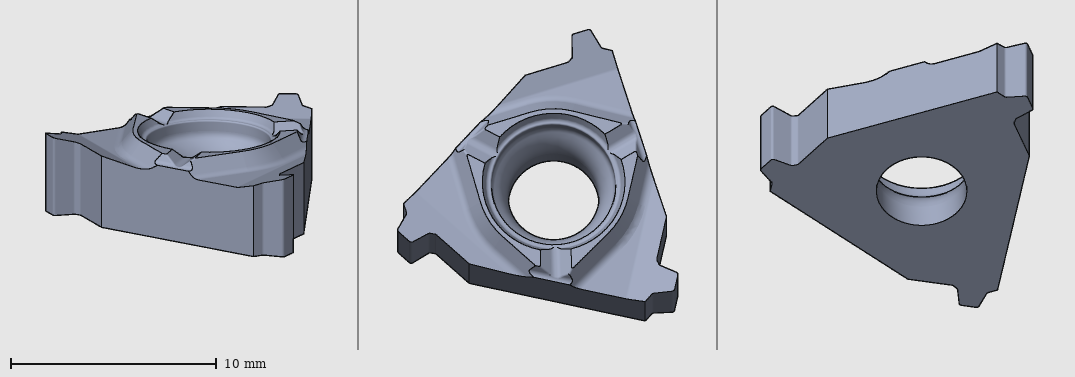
import cadquery as cq
import math

THICKNESS = 4.2
SIDE_DISTANCE = 9.525 / 2
CORNER_STEP = 120
NEXT_SIDE_DIRECTION = 180 + CORNER_STEP
CORNERS = (0, CORNER_STEP, 2 * CORNER_STEP)
REACH = 10.0
BAND = 0.01

TIP_Y = -6.895
SHOULDER_Y = -5.70
SIDE_END_Y = -5.615
TOOTH_X = -3.56
TIP_HALF_WIDTH = 0.465
FLANK_ANGLE = 15.0
ROOT_Y = -5.88
ROOT_BEVEL_END_X = -2.56
TIP_RADIUS = 0.14
ROOT_RADIUS = 0.15

FLOOR_Z = 3.375
RAMP_START = 4.70
RAMP_ANGLE = 15.0
RAMP_FOOT_RADIUS = 0.4
BOSS_RADIUS = 3.70
BOSS_WALL_ANGLE = 51.0
BOSS_FOOT_RADIUS = 0.45
BOSS_ARC_START = -121.8
BOSS_ARC_END = -90
BOSS_HALF_GAP = (CORNER_STEP + BOSS_ARC_START - BOSS_ARC_END) / 2
BOSS_CORNER = BOSS_ARC_END + BOSS_HALF_GAP

LEDGE_Z = 3.72
LEDGE_WALL_TOP = 4.30
LEDGE_WALL_ANGLE = 63.0
LEDGE_FILLET = 0.27
LEDGE_HALF_LENGTH = 2.5

GROOVE_DEPTH = 0.44
GROOVE_HALF_WIDTH = 0.75
GROOVE_WALL_ANGLE = 36.0
GROOVE_FILLET = 0.35
GROOVE_MOUTH_RADIUS = 0.1

HOLE_RADIUS = 4.4 / 2
RIM_RADIUS = 3.47
RIM_STEP_Z = 3.76
RIM_STEP_RADIUS = 3.24
RIM_STEP_FILLET = 0.2
SEAT_RADIUS = 3.02
SEAT_EDGE_RADIUS = 0.08
SEAT_TOP_Z = 3.22
SEAT_BLEND_RADIUS = 0.5
SEAT_ARC_RADIUS = 2.02


def polar(radius, degrees):
    angle = math.radians(degrees)
    return (radius * math.cos(angle), radius * math.sin(angle))


def turned(point, degrees):
    x, y = point
    angle = math.radians(degrees)
    return (x * math.cos(angle) - y * math.sin(angle), x * math.sin(angle) + y * math.cos(angle))


def at_corners(solid):
    """One solid holding the three rotated copies."""
    copies = cq.Workplane("XY")
    for angle in CORNERS:
        copies = copies.add(solid.rotate((0, 0, 0), (0, 0, 1), angle))
    return copies.combine()


def tooth_corner():
    """Outline points from the long side, round the tooth, to the shoulder."""
    root_half_width = TIP_HALF_WIDTH + (ROOT_Y - TIP_Y) * math.tan(math.radians(FLANK_ANGLE))
    normal_x, normal_y = polar(1, NEXT_SIDE_DIRECTION)
    shoulder_end_x = (SIDE_DISTANCE - SHOULDER_Y * normal_y) / normal_x
    return {
        "side_end": (-SIDE_DISTANCE, SIDE_END_Y),
        "left_root": (TOOTH_X - root_half_width, ROOT_Y),
        "left_tip": (TOOTH_X - TIP_HALF_WIDTH, TIP_Y),
        "right_tip": (TOOTH_X + TIP_HALF_WIDTH, TIP_Y),
        "right_root": (TOOTH_X + root_half_width, ROOT_Y),
        "bevel_end": (ROOT_BEVEL_END_X, SHOULDER_Y),
        "shoulder_end": (shoulder_end_x, SHOULDER_Y),
    }


def blank():
    """Full-height prism of the three-tooth outline with its tooth edges rounded."""
    corner = tooth_corner()
    outline = [turned(point, angle) for angle in CORNERS for point in corner.values()]
    body = cq.Workplane("XY").polyline(outline).close().extrude(THICKNESS)

    def round_edges(solid, names, radius):
        for angle in CORNERS:
            for name in names:
                x, y = turned(corner[name], angle)
                edge = cq.selectors.NearestToPointSelector((x, y, THICKNESS / 2))
                solid = solid.edges("|Z").edges(edge).fillet(radius)
        return solid

    body = round_edges(body, ("left_tip", "right_tip"), TIP_RADIUS)
    return round_edges(body, ("left_root", "right_root", "bevel_end"), ROOT_RADIUS)


def boss_on_floor():
    """Floor disc carrying the sloped boss: arcs joined by tangent lines that meet at three corners."""
    height = THICKNESS - FLOOR_Z
    foot_radius = BOSS_RADIUS + height / math.tan(math.radians(BOSS_WALL_ANGLE))
    corner_radius = foot_radius / math.cos(math.radians(BOSS_HALF_GAP))
    arc_middle = (BOSS_ARC_START + BOSS_ARC_END) / 2
    outline = cq.Workplane("XY").workplane(offset=FLOOR_Z).moveTo(*polar(foot_radius, BOSS_ARC_START))
    for angle in CORNERS:
        outline = outline.threePointArc(
            polar(foot_radius, arc_middle + angle), polar(foot_radius, BOSS_ARC_END + angle)
        )
        outline = outline.lineTo(*polar(corner_radius, BOSS_CORNER + angle))
        outline = outline.lineTo(*polar(foot_radius, BOSS_ARC_START + CORNER_STEP + angle))
    boss = outline.close().extrude(height, taper=90 - BOSS_WALL_ANGLE)
    floor = cq.Workplane("XY").circle(REACH).extrude(FLOOR_Z)
    inside = 0.95 * REACH
    foot_edges = cq.selectors.BoxSelector(
        (-inside, -inside, FLOOR_Z - BAND), (inside, inside, FLOOR_Z + BAND), boundingbox=True
    )
    return floor.union(boss).edges(foot_edges).fillet(BOSS_FOOT_RADIUS)


def ramp():
    """Ground under the -Y tooth: level up to the ramp foot, then rising outwards."""
    slope = math.tan(math.radians(RAMP_ANGLE))
    run_in = RAMP_FOOT_RADIUS
    profile = [
        (-RAMP_START + run_in, 0),
        (-RAMP_START + run_in, FLOOR_Z),
        (-RAMP_START, FLOOR_Z),
        (-REACH, FLOOR_Z + (REACH - RAMP_START) * slope),
        (-REACH, 0),
    ]
    wedge = cq.Workplane("YZ").polyline(profile).close().extrude(REACH, both=True)
    foot = cq.selectors.NearestToPointSelector((0, -RAMP_START, FLOOR_Z))
    return wedge.edges("|X").edges(foot).fillet(RAMP_FOOT_RADIUS)


def ledge_wall_foot():
    """Distance from the axis at which the ledge wall would meet the ledge without its fillet."""
    return LEDGE_WALL_TOP + (THICKNESS - LEDGE_Z) / math.tan(math.radians(LEDGE_WALL_ANGLE))


def ledge_cutter():
    """Space above the ledge on the -X side."""
    wall_foot = ledge_wall_foot()
    profile = [
        (-REACH, LEDGE_Z),
        (-wall_foot, LEDGE_Z),
        (-LEDGE_WALL_TOP, THICKNESS),
        (-REACH, THICKNESS),
    ]
    cutter = cq.Workplane("XZ").polyline(profile).close().extrude(LEDGE_HALF_LENGTH, both=True)
    foot = cq.selectors.NearestToPointSelector((-wall_foot, 0, LEDGE_Z))
    return cutter.edges("|Y").edges(foot).fillet(LEDGE_FILLET)


def groove_cutter():
    """Trapezoid groove running along +X, turned to the boss corner."""
    bottom_z = THICKNESS - GROOVE_DEPTH
    bottom_half = GROOVE_HALF_WIDTH - GROOVE_DEPTH / math.tan(math.radians(GROOVE_WALL_ANGLE))
    profile = [
        (-GROOVE_HALF_WIDTH, THICKNESS),
        (-bottom_half, bottom_z),
        (bottom_half, bottom_z),
        (GROOVE_HALF_WIDTH, THICKNESS),
    ]
    cutter = cq.Workplane("YZ").polyline(profile).close().extrude(REACH)
    cutter = cutter.faces("<Z").edges("|X").fillet(GROOVE_FILLET)
    return cutter.rotate((0, 0, 0), (0, 0, 1), BOSS_CORNER)


def round_groove_mouths(body):
    """Rounds the outer end of every groove, and the short edge from its rim down the boss wall."""
    wall_foot = ledge_wall_foot()
    side_to_corner = math.radians(BOSS_CORNER - NEXT_SIDE_DIRECTION)
    mouth_radius = wall_foot / math.cos(side_to_corner)
    half_gap = math.radians(BOSS_HALF_GAP)
    rim_along = (BOSS_RADIUS - GROOVE_HALF_WIDTH * math.sin(half_gap)) / math.cos(half_gap)
    rim_point = turned((rim_along, GROOVE_HALF_WIDTH), BOSS_CORNER)
    for angle in CORNERS:
        mouth_bottom = (*polar(mouth_radius, BOSS_CORNER + angle), THICKNESS - GROOVE_DEPTH)
        rim_end = (*turned(rim_point, angle), THICKNESS)
        mouth_edge = cq.selectors.NearestToPointSelector(mouth_bottom)
        rim_edge = cq.selectors.NearestToPointSelector(rim_end)
        body = body.edges(mouth_edge + rim_edge).fillet(GROOVE_MOUTH_RADIUS)
    return body


def hole_cutter():
    """Revolved screw hole: conical rim, step, short cylinder and a rounded seat."""
    seat_width = SEAT_RADIUS - HOLE_RADIUS
    meeting = math.acos(1 - seat_width / (SEAT_BLEND_RADIUS + SEAT_ARC_RADIUS))

    def blend_point(angle):
        return (
            SEAT_RADIUS - SEAT_BLEND_RADIUS * (1 - math.cos(angle)),
            SEAT_TOP_Z - SEAT_BLEND_RADIUS * math.sin(angle),
        )

    seat_bottom_z = blend_point(meeting)[1] - SEAT_ARC_RADIUS * math.sin(meeting)

    def seat_point(angle):
        return (
            HOLE_RADIUS + SEAT_ARC_RADIUS * (1 - math.cos(angle)),
            seat_bottom_z + SEAT_ARC_RADIUS * math.sin(angle),
        )

    cutter = (
        cq.Workplane("XZ")
        .moveTo(0, 0)
        .lineTo(HOLE_RADIUS, 0)
        .lineTo(HOLE_RADIUS, seat_bottom_z)
        .threePointArc(seat_point(meeting / 2), seat_point(meeting))
        .threePointArc(blend_point(meeting / 2), (SEAT_RADIUS, SEAT_TOP_Z))
        .lineTo(SEAT_RADIUS, RIM_STEP_Z)
        .lineTo(RIM_STEP_RADIUS, RIM_STEP_Z)
        .lineTo(RIM_RADIUS, THICKNESS)
        .lineTo(0, THICKNESS)
        .close()
        .revolve(360, (0, 0, 0), (0, 1, 0))
    )
    step_foot = cq.selectors.RadiusNthSelector(-2)
    cutter = cutter.edges("%CIRCLE").edges(step_foot).fillet(RIM_STEP_FILLET)
    seat_edge = cq.selectors.BoxSelector(
        (-RIM_RADIUS, -RIM_RADIUS, RIM_STEP_Z - BAND),
        (RIM_RADIUS, RIM_RADIUS, RIM_STEP_Z + BAND),
        boundingbox=True,
    )
    smallest_circle = cq.selectors.RadiusNthSelector(0)
    return cutter.edges(seat_edge).edges(smallest_circle).fillet(SEAT_EDGE_RADIUS)


top_form = boss_on_floor().union(at_corners(ramp()))
insert = (
    blank()
    .intersect(top_form)
    .cut(at_corners(ledge_cutter()))
    .cut(at_corners(groove_cutter()))
)
result = round_groove_mouths(insert).cut(hole_cutter())